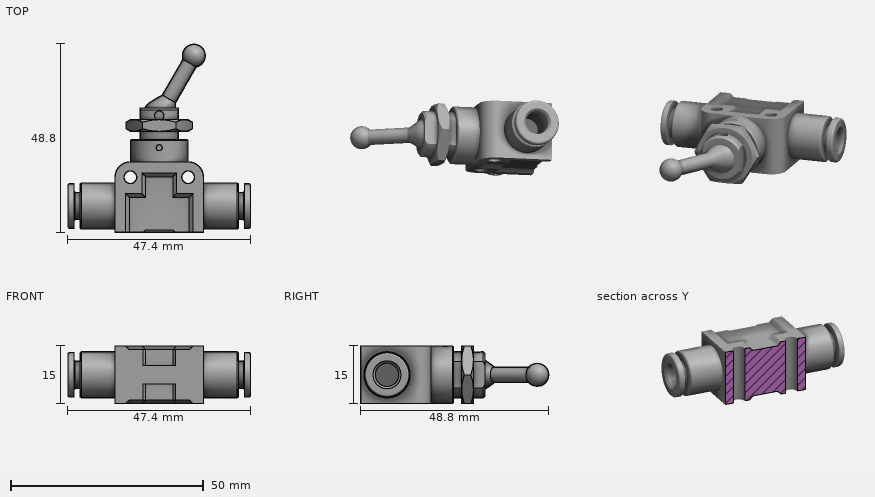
import cadquery as cq
import math


body_width = 23.0
body_thickness = 15.0
body_front = -6.85
body_back = 11.45
corner_radius = 4.0
mount_hole_diameter = 3.2

relief_depth = 1.0
relief_wide = 17.5
relief_narrow = 9.0
relief_step_y = 3.2
relief_back_y = 8.55

grip_width = 8.4
grip_depth = 0.6
grip_bridge = 4.8

overall_length = 47.4
port_radius = 6.0
port_end = 20.5
port_chamfer = 0.3
release_radius = 5.8
release_inner_face = 22.05
release_fillet = 0.6
neck_radius = 3.55
neck_flare = 0.25
bore_radius = 3.05
bore_chamfer = 0.6

collar_radius = body_thickness / 2
collar_end = 17.25
collar_chamfer = 0.3
stem_radius = 6.0
stem_end = 25.45
stem_chamfer = 0.5
stem_flat_width = 9.85
nut_start = 19.4
nut_thickness = 3.05
nut_across_flats = body_thickness
nut_chamfer_angle = 30

dimple_y = 15.15
dimple_radius = 0.8
dimple_depth = 0.25
pivot_y = 23.45
pin_radius = 1.2
pin_recess_depth = 0.75

lever_tilt = 30
lever_radius = 2.0
pivot_ball_radius = 4.25
cone_half_angle = 30
knob_distance = 17.95
overall_depth = 48.8

knob_centre_y = pivot_y + knob_distance * math.cos(math.radians(lever_tilt))
knob_radius = body_front + overall_depth - knob_centre_y


def y_cylinder(radius, start, end):
    """Cylinder on the Y axis between two Y positions."""
    return cq.Workplane("XZ", origin=(0, start, 0)).circle(radius).extrude(start - end)


def make_body():
    """Block with rounded back corners and a mounting hole on each corner centre."""
    block = (
        cq.Workplane("XY")
        .box(body_width, body_back - body_front, body_thickness)
        .translate((0, (body_back + body_front) / 2, 0))
        .edges("|Z and >Y")
        .fillet(corner_radius)
    )
    hole_x = body_width / 2 - corner_radius
    hole_y = body_back - corner_radius
    holes = (
        cq.Workplane("XY")
        .pushPoints([(-hole_x, hole_y), (hole_x, hole_y)])
        .circle(mount_hole_diameter / 2)
        .extrude(body_thickness, both=True)
    )
    return block.cut(holes)


def relief_bar(width, back_y):
    """Rectangular pocket with 45 degree walls, running out through the front face."""
    front_y = body_front - relief_depth
    return (
        cq.Workplane("XY", origin=(0, (front_y + back_y) / 2, body_thickness / 2))
        .rect(width, back_y - front_y)
        .extrude(-relief_depth, taper=45)
    )


def make_relief():
    """T-shaped relief in the top face."""
    return relief_bar(relief_wide, relief_step_y).union(relief_bar(relief_narrow, relief_back_y))


def make_grip():
    """Shallow recess with 45 degree sides, from the central bridge up to the top face."""
    half_width = grip_width / 2
    return (
        cq.Workplane("XY", origin=(0, 0, grip_bridge / 2))
        .moveTo(-half_width, body_front)
        .lineTo(half_width, body_front)
        .lineTo(half_width - grip_depth, body_front + grip_depth)
        .lineTo(-half_width + grip_depth, body_front + grip_depth)
        .close()
        .extrude((body_thickness - grip_bridge) / 2)
    )


def make_port():
    """Port on the +X side: sleeve, neck and release ring around a blind bore."""
    face = overall_length / 2
    root = body_width / 2
    arc_offset = release_fillet * (1 - math.sqrt(0.5))
    return (
        cq.Workplane("XY")
        .moveTo(root, 0)
        .lineTo(root, port_radius)
        .lineTo(port_end - port_chamfer, port_radius)
        .lineTo(port_end, port_radius - port_chamfer)
        .lineTo(port_end, neck_radius)
        .lineTo(release_inner_face - neck_flare, neck_radius)
        .lineTo(release_inner_face, neck_radius + neck_flare)
        .lineTo(release_inner_face, release_radius)
        .lineTo(face - release_fillet, release_radius)
        .threePointArc(
            (face - arc_offset, release_radius - arc_offset),
            (face, release_radius - release_fillet),
        )
        .lineTo(face, bore_radius + bore_chamfer)
        .lineTo(face - bore_chamfer, bore_radius)
        .lineTo(root, bore_radius)
        .lineTo(root, 0)
        .close()
        .revolve(360, (0, 0, 0), (1, 0, 0))
    )


def make_collar():
    """Round collar behind the body with a marker dimple on top."""
    collar = y_cylinder(collar_radius, body_back, collar_end).faces(">Y").chamfer(collar_chamfer)
    dimple = (
        cq.Workplane("XY", origin=(0, dimple_y, 0))
        .circle(dimple_radius)
        .extrude(body_thickness)
        .cut(y_cylinder(collar_radius - dimple_depth, body_back, collar_end))
    )
    return collar.cut(dimple)


def make_stem():
    """Stem with two side flats and a flat-bottomed pin recess on top."""
    stem = y_cylinder(stem_radius, collar_end, stem_end).faces(">Y").chamfer(stem_chamfer)
    flats = cq.Workplane("XY").box(stem_flat_width, 2 * stem_end, 2 * stem_radius)
    recess = (
        cq.Workplane("XY", origin=(0, pivot_y, stem_radius - pin_recess_depth))
        .circle(pin_radius)
        .extrude(2 * pin_recess_depth)
    )
    return stem.intersect(flats).cut(recess)


def make_nut():
    """Hexagon nut with corners along X, chamfered on both faces.

    Its bore is round, so a gap stays open beside each stem flat.
    """
    nut_corner_radius = nut_across_flats / 2 / math.cos(math.pi / 6)
    face_radius = nut_across_flats / 2
    drop = (nut_corner_radius - face_radius) * math.tan(math.radians(nut_chamfer_angle))
    nut_end = nut_start + nut_thickness
    hexagon = (
        cq.Workplane("XZ", origin=(0, nut_start, 0))
        .polygon(6, 2 * nut_corner_radius)
        .extrude(-nut_thickness)
    )
    envelope = (
        cq.Workplane("XY")
        .moveTo(0, nut_start)
        .lineTo(face_radius, nut_start)
        .lineTo(nut_corner_radius, nut_start + drop)
        .lineTo(nut_corner_radius, nut_end - drop)
        .lineTo(face_radius, nut_end)
        .lineTo(0, nut_end)
        .close()
        .revolve(360, (0, 0, 0), (0, 1, 0))
    )
    return hexagon.intersect(envelope).cut(y_cylinder(stem_radius, nut_start, nut_end))


def make_lever():
    """Tilted lever: pivot ball, tangent cone, rod and knob."""
    half_angle = math.radians(cone_half_angle)
    tangent_radius = pivot_ball_radius * math.cos(half_angle)
    tangent_y = pivot_ball_radius * math.sin(half_angle)
    cone_end_y = tangent_y + (tangent_radius - lever_radius) / math.tan(half_angle)
    shaft = (
        cq.Workplane("XY")
        .lineTo(pivot_ball_radius, 0)
        .threePointArc(
            (
                pivot_ball_radius * math.cos(half_angle / 2),
                pivot_ball_radius * math.sin(half_angle / 2),
            ),
            (tangent_radius, tangent_y),
        )
        .lineTo(lever_radius, cone_end_y)
        .lineTo(lever_radius, knob_distance)
        .lineTo(0, knob_distance)
        .close()
        .revolve(360, (0, 0, 0), (0, 1, 0))
    )
    knob = cq.Workplane("XY").sphere(knob_radius).translate((0, knob_distance, 0))
    return (
        shaft.union(knob)
        .rotate((0, 0, 0), (0, 0, 1), -lever_tilt)
        .translate((0, pivot_y, 0))
    )


body = make_body()
for pocket in (make_relief(), make_grip()):
    body = body.cut(pocket).cut(pocket.mirror("XY"))

port = make_port()
result = body.union(port).union(port.mirror("YZ"))
for section in (make_collar(), make_stem(), make_nut(), make_lever()):
    result = result.union(section)